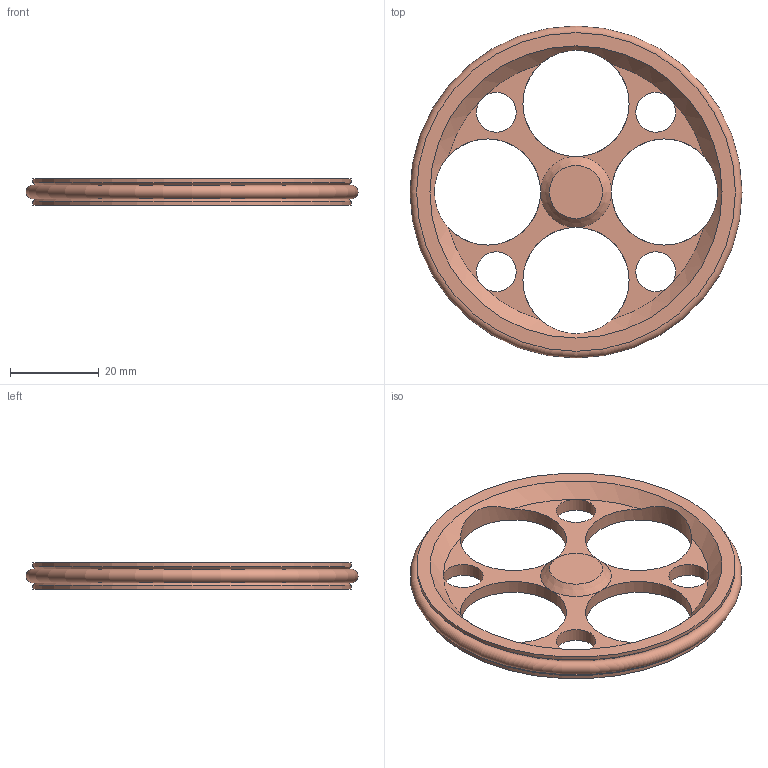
import cadquery as cq
import math

wheel_radius = 36.0
wheel_height = 6.0
rim_bottom_z = -wheel_height / 2
rim_top_z = wheel_height / 2
rim_inner_radius = 33.0

web_top_z = 0.0
web_radius = 30.0

hub_radius = 8.0
hub_height = 2.0
hub_top_radius = 6.0

tire_section_radius = 1.5
tire_center_radius = wheel_radius

groove_depth = tire_section_radius * math.sqrt(2)
groove_half_width = groove_depth

large_hole_diameter = 24.0
large_hole_circle_radius = 20.0
small_hole_diameter = 9.0
small_hole_offset = 18.0
small_hole_circle_radius = small_hole_offset * math.sqrt(2)
hole_count = 4


def make_blank():
    """Revolved wheel: hub, web, sloping rim and outer V groove."""
    hub_top_z = web_top_z + hub_height
    return (
        cq.Workplane("XZ")
        .moveTo(0, rim_bottom_z)
        .lineTo(wheel_radius, rim_bottom_z)
        .lineTo(wheel_radius, -groove_half_width)
        .lineTo(wheel_radius - groove_depth, 0)
        .lineTo(wheel_radius, groove_half_width)
        .lineTo(wheel_radius, rim_top_z)
        .lineTo(rim_inner_radius, rim_top_z)
        .lineTo(web_radius, web_top_z)
        .lineTo(hub_radius, web_top_z)
        .lineTo(hub_top_radius, hub_top_z)
        .lineTo(0, hub_top_z)
        .close()
        .revolve(360, (0, 0, 0), (0, 1, 0))
    )


def make_hole_cutters(diameter, circle_radius, start_angle):
    """Ring of evenly spaced cylinders running the full height of the wheel."""
    return (
        cq.Workplane("XY", origin=(0, 0, rim_bottom_z))
        .polarArray(circle_radius, start_angle, 360, hole_count)
        .circle(diameter / 2)
        .extrude(wheel_height)
    )


def make_wheel():
    large_holes = make_hole_cutters(large_hole_diameter, large_hole_circle_radius, 0)
    small_holes = make_hole_cutters(small_hole_diameter, small_hole_circle_radius, 45)
    return make_blank().cut(large_holes).cut(small_holes)


def make_tire():
    return (
        cq.Workplane("XZ")
        .center(tire_center_radius, 0)
        .circle(tire_section_radius)
        .revolve(360, (-tire_center_radius, 0, 0), (-tire_center_radius, 1, 0))
    )


wheel = make_wheel()
tire = make_tire()

result = cq.Compound.makeCompound([wheel.val(), tire.val()])